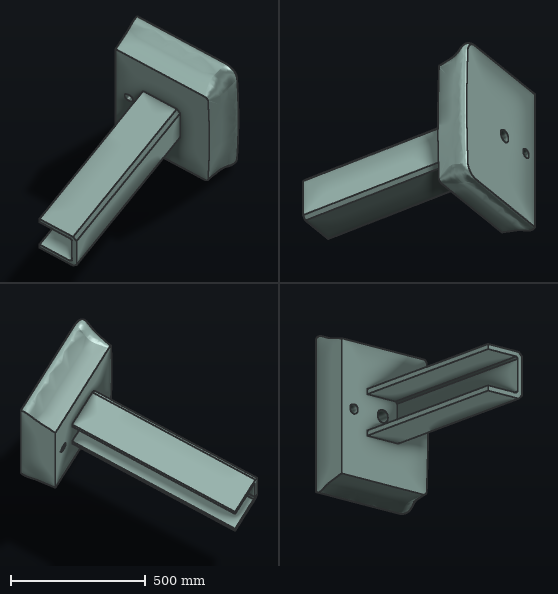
import cadquery as cq
import math

TOTAL_LENGTH = 850.0
BLOCK_DEPTH = 150.0
CHANNEL_LENGTH = TOTAL_LENGTH - BLOCK_DEPTH

RIM_SECTIONS = [
    (0.0, 298.0, 445.0, 51.0),
    (19.0, 305.0, 456.0, 53.5),
    (37.0, 300.0, 450.5, 55.0),
    (56.0, 291.0, 444.5, 56.0),
    (75.0, 283.0, 439.5, 54.0),
    (93.5, 278.0, 434.0, 48.5),
    (112.0, 274.0, 429.0, 39.0),
    (131.0, 269.0, 423.0, 28.0),
    (BLOCK_DEPTH, 264.0, 418.0, 17.0),
]
BOW_RADIUS = 5100.0

HOLES = [(59.5, 37.0), (199.0, 50.0)]

CHANNEL_START_X = 123.0
CHANNEL_WIDTH = 165.0
CHANNEL_HEIGHT = 183.0
WALL = 20.0
OUTER_CHAMFER = 15.0
INNER_CHAMFER = 8.0


def rim_wire(distance, half_height, reach, radius):
    """Closed block outline in a plane of constant Y, with tangent corner arcs."""
    y = BLOCK_DEPTH - distance

    bow_center_x = reach - BOW_RADIUS
    arc_center_z = half_height - radius
    center_distance = BOW_RADIUS - radius
    arc_center_x = bow_center_x + math.sqrt(center_distance**2 - arc_center_z**2)
    side_angle = math.asin(arc_center_z / center_distance)
    middle_angle = (side_angle + math.pi / 2) / 2

    def corner_point(angle, side):
        x = arc_center_x + radius * math.cos(angle)
        z = side * (arc_center_z + radius * math.sin(angle))
        return cq.Vector(x, y, z)

    bottom_left = cq.Vector(0, y, -half_height)
    top_left = cq.Vector(0, y, half_height)
    bottom_corner = [corner_point(a, -1) for a in (math.pi / 2, middle_angle, side_angle)]
    top_corner = [corner_point(a, 1) for a in (side_angle, middle_angle, math.pi / 2)]
    side_middle = cq.Vector(reach, y, 0)
    return cq.Wire.assembleEdges([
        cq.Edge.makeLine(bottom_left, bottom_corner[0]),
        cq.Edge.makeThreePointArc(*bottom_corner),
        cq.Edge.makeThreePointArc(bottom_corner[-1], side_middle, top_corner[0]),
        cq.Edge.makeThreePointArc(*top_corner),
        cq.Edge.makeLine(top_corner[-1], top_left),
        cq.Edge.makeLine(top_left, bottom_left),
    ])


def make_block():
    """Block with a contoured rim and two through holes."""
    outlines = [rim_wire(*section) for section in RIM_SECTIONS]
    block = cq.Workplane(cq.Solid.makeLoft(outlines))
    for x, diameter in HOLES:
        drill = cq.Workplane("XZ").center(x, 0).circle(diameter / 2).extrude(-BLOCK_DEPTH)
        block = block.cut(drill)
    return block.solids()


def channel_bar(width, height, chamfer):
    """Bar along -Y whose two edges on the +X side are chamfered."""
    return (
        cq.Workplane("XZ")
        .center(CHANNEL_START_X + width / 2, 0)
        .rect(width, height)
        .extrude(CHANNEL_LENGTH)
        .faces(">X")
        .edges("|Y")
        .chamfer(chamfer)
    )


def make_channel():
    """C-section channel butting against the front face of the block."""
    outside = channel_bar(CHANNEL_WIDTH, CHANNEL_HEIGHT, OUTER_CHAMFER)
    inside = channel_bar(CHANNEL_WIDTH - WALL, CHANNEL_HEIGHT - 2 * WALL, INNER_CHAMFER)
    return outside.cut(inside).solids()


block = make_block()
channel = make_channel()

result = cq.Compound.makeCompound([block.val(), channel.val()])